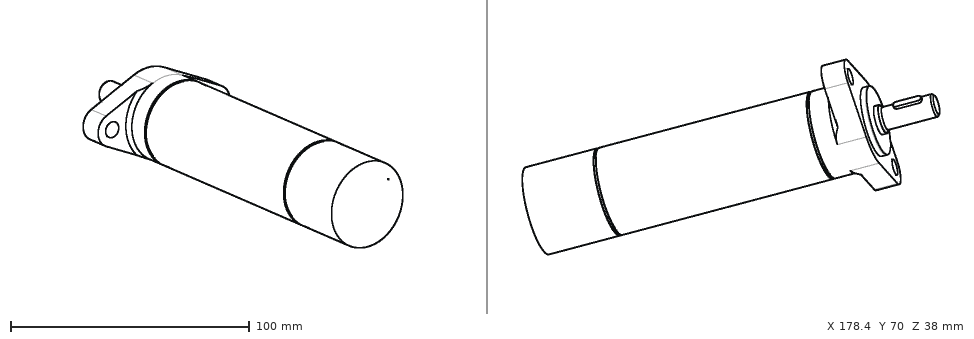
import cadquery as cq
import math


flare_start = 22.8
collar_start = 23.9
pilot_start = 25.9
flange_front = 28.5
flange_back = 38.9
hub_end = 41.4
motor_end = 178.0
overall_length = 178.4

shaft_diameter = 10.0
flare_diameter = 12.0
collar_diameter = 12.5
pilot_diameter = 30.0
body_diameter = 38.0
groove_diameter = 36.5

shaft_chamfer = 0.9
pilot_chamfer_length = 0.5
pilot_chamfer_depth = 0.09
groove_width = 1.0
groove_starts = (50.1, 145.2)

flange_width = 70.0
ear_radius = 7.5
ear_offset = flange_width / 2 - ear_radius
bolt_hole_diameter = 7.0
cone_diameter = 40.5

key_start = 4.6
key_length = 12.7
key_width = 3.0
key_top = 6.2

pip_diameter = 0.4
pip_y = 11.0
pip_z = 9.0


def cylinder(start, end, diameter):
    """Cylinder on the motor axis between two axial stations."""
    return cq.Workplane("YZ", origin=(start, 0, 0)).circle(diameter / 2).extrude(end - start)


def cone(start, end, start_diameter, end_diameter):
    """Truncated cone on the motor axis between two axial stations."""
    base = cq.Workplane("YZ", origin=(start, 0, 0)).circle(start_diameter / 2)
    return base.workplane(offset=end - start).circle(end_diameter / 2).loft()


def ring_groove(start, width, outer_diameter, floor_diameter):
    """Ring to subtract for a turned groove."""
    ring = cq.Workplane("YZ", origin=(start, 0, 0))
    return ring.circle(outer_diameter / 2 + 1.8).circle(floor_diameter / 2).extrude(width)


def make_shaft():
    shaft = cylinder(0, flange_front, shaft_diameter).faces("<X").chamfer(shaft_chamfer)
    flare = cone(flare_start, collar_start, shaft_diameter, flare_diameter)
    collar = cylinder(collar_start, flange_front, collar_diameter)
    key = (
        cq.Workplane("XZ", origin=(key_start + key_length / 2, 0, 0))
        .slot2D(key_length, key_width)
        .extrude(-key_top)
    )
    return shaft.union(flare).union(collar).union(key)


def make_body():
    body = cylinder(hub_end, motor_end, body_diameter)
    for start in groove_starts:
        body = body.cut(ring_groove(start, groove_width, body_diameter, groove_diameter))
    return body


def make_pilot():
    pilot = cylinder(pilot_start, flange_front, pilot_diameter)
    return pilot.faces("<X").chamfer(pilot_chamfer_length, pilot_chamfer_depth)


def make_flange():
    """Rhombic flange: straight flanks tangent to the body and to both ear arcs."""
    body_radius = body_diameter / 2
    tangent_sin = (body_radius - ear_radius) / ear_offset
    tangent_cos = math.sqrt(1 - tangent_sin**2)
    body_y = body_radius * tangent_sin
    body_z = body_radius * tangent_cos
    ear_y = ear_offset + ear_radius * tangent_sin
    ear_z = ear_radius * tangent_cos
    outline = (
        cq.Workplane("YZ", origin=(flange_front, 0, 0))
        .moveTo(-body_y, body_z)
        .threePointArc((0, body_radius), (body_y, body_z))
        .lineTo(ear_y, ear_z)
        .threePointArc((flange_width / 2, 0), (ear_y, -ear_z))
        .lineTo(body_y, -body_z)
        .threePointArc((0, -body_radius), (-body_y, -body_z))
        .lineTo(-ear_y, -ear_z)
        .threePointArc((-flange_width / 2, 0), (-ear_y, ear_z))
        .close()
    )
    blank = outline.extrude(hub_end - flange_front)

    taper = cone(flange_back, hub_end, cone_diameter, body_diameter)
    relief = cylinder(flange_back, hub_end, flange_width + 1.8).cut(taper)
    holes = (
        cq.Workplane("YZ", origin=(flange_front, 0, 0))
        .pushPoints([(-ear_offset, 0), (ear_offset, 0)])
        .circle(bolt_hole_diameter / 2)
        .extrude(hub_end - flange_front)
    )
    return blank.cut(relief).cut(holes)


def make_pip():
    pip = cq.Workplane("YZ", origin=(motor_end, pip_y, pip_z))
    return pip.circle(pip_diameter / 2).extrude(overall_length - motor_end)


result = make_flange().union(make_body()).union(make_pilot()).union(make_shaft()).union(make_pip()).clean()